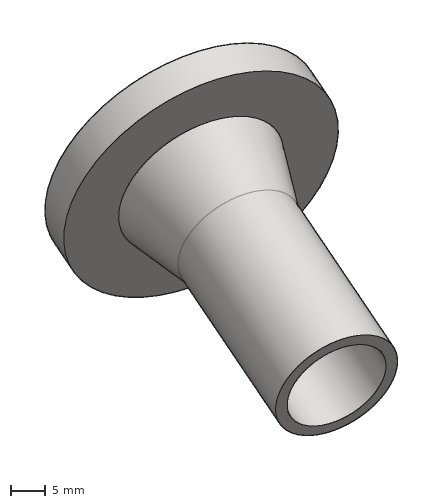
import cadquery as cq

flange_diameter = 45.0
flange_thickness = 6.0
hub_diameter = 27.0
hub_length = 12.0
tube_diameter = 20.0
bore_diameter = 16.2
total_length = 49.0

hub_end = flange_thickness + hub_length


def outer_body():
    """Flange, tapered hub and tube as one turned solid."""
    return (
        cq.Workplane("XZ")
        .moveTo(0, 0)
        .lineTo(0, flange_diameter / 2)
        .lineTo(flange_thickness, flange_diameter / 2)
        .lineTo(flange_thickness, hub_diameter / 2)
        .lineTo(hub_end, tube_diameter / 2)
        .lineTo(total_length, tube_diameter / 2)
        .lineTo(total_length, 0)
        .close()
        .revolve(360, (0, 0, 0), (1, 0, 0))
    )


def bore():
    """Straight through hole along the X axis."""
    return cq.Workplane("YZ").circle(bore_diameter / 2).extrude(total_length)


result = outer_body().cut(bore())